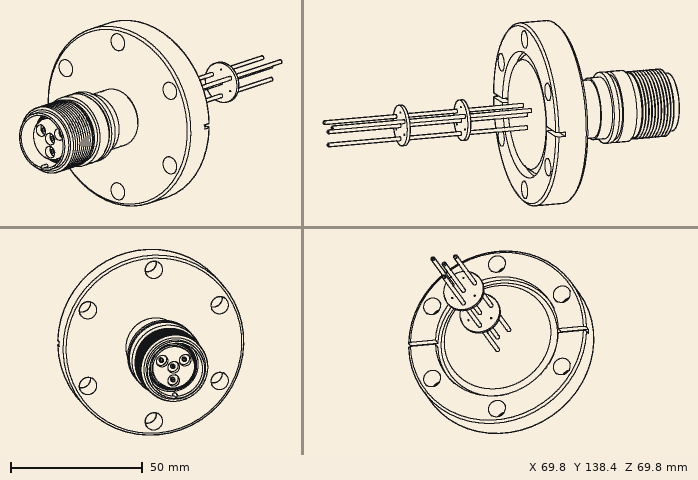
import cadquery as cq
import math


FLANGE_RADIUS = 34.9
FLANGE_THICKNESS = 13.0
FLANGE_CHAMFER = 1.0
BOLT_COUNT = 6
BOLT_CIRCLE_RADIUS = 29.4
BOLT_HOLE_RADIUS = 3.3

RECESS_RADIUS = 24.1
RECESS_DEPTH = 3.6
LAND_DEPTH = 1.0
LAND_RADIUS = 20.9
LAND_ROOT_RADIUS = 22.8
LEAK_SLOT_WIDTH = 1.7
SLOT_OVERLAP = 0.7

NECK_RADIUS = 11.1
NECK_CHAMFER = 1.5
SLEEVE_RADIUS = 11.8
COLLAR_RADIUS = 13.6
COLLAR_GROOVE_RADIUS = 12.5
SHANK_RADIUS = 12.3
NOSE_RADIUS = 11.1
SLEEVE_START = 13.7
COLLAR_START = 18.3
COLLAR_GROOVE_START = 20.4
COLLAR_GROOVE_END = 22.0
COLLAR_END = 27.4
FIRST_CREST = 29.9
NOSE_END = 45.5

THREAD_CREST_RADIUS = 12.9
THREAD_ROOT_RADIUS = 11.9
THREAD_PITCH = 1.26
CREST_COUNT = 11

SOCKET_RADIUS = 10.2
INSULATOR_RADIUS = 8.0
INSULATOR_FACE = 40.9
INSULATOR_COLLAR_RADIUS = 9.4
INSULATOR_TAPER = 1.4
SEAT_RADIUS = 9.0
SEAT_CHAMFER = 0.4
SOCKET_FLOOR = 36.7
PEG_RADIUS = 0.8
PEG_CENTRE_RADIUS = 10.2
PEG_LENGTH = 2.8
PEG_OVERHANG = 0.1

PIN_RADIUS = 0.76
PIN_CIRCLE_RADIUS = 5.1
PIN_ANGLES = (30, 150, 270)
PIN_END = 92.8
PIN_CHAMFER = 0.4
WELL_RADIUS = 2.2
WELL_DEPTH = 2.8
PIN_RECESS = 0.7

SPACER_RADIUS = 7.8
SPACER_THICKNESS = 1.2
SPACER_CENTRES = (38.2, 62.7)
VENT_RADIUS = 0.21


def cylinder(radius, y_start, y_end, x=0, z=0):
    """Cylinder along Y between two Y positions."""
    start = cq.Vector(x, y_start, z)
    return cq.Workplane(cq.Solid.makeCylinder(radius, y_end - y_start, start, cq.Vector(0, 1, 0)))


def revolve_profile(points):
    """Turn (radius, Y) points around the Y axis."""
    return cq.Workplane("XY").polyline(points).close().revolve(360, (0, 0, 0), (0, 1, 0))


def on_circle(radius, angle):
    """X and Z of a point at an angle from +X towards +Z."""
    turn = math.radians(angle)
    return radius * math.cos(turn), radius * math.sin(turn)


def make_flange():
    flange = cylinder(FLANGE_RADIUS, 0, FLANGE_THICKNESS).edges().chamfer(FLANGE_CHAMFER)
    for index in range(BOLT_COUNT):
        x, z = on_circle(BOLT_CIRCLE_RADIUS, 90 + index * 360 / BOLT_COUNT)
        flange = flange.cut(cylinder(BOLT_HOLE_RADIUS, 0, FLANGE_THICKNESS, x, z))

    back = FLANGE_THICKNESS
    floor = back - RECESS_DEPTH
    land = back - LAND_DEPTH
    recess = revolve_profile([
        (0, back),
        (RECESS_RADIUS, back),
        (RECESS_RADIUS, floor),
        (LAND_ROOT_RADIUS, floor),
        (LAND_RADIUS, land),
        (0, land),
    ])

    slot_length = FLANGE_RADIUS - RECESS_RADIUS + SLOT_OVERLAP
    for side in (-1, 1):
        slot = cq.Workplane("XY").box(slot_length, RECESS_DEPTH, LEAK_SLOT_WIDTH)
        slot_centre = side * (FLANGE_RADIUS - slot_length / 2)
        flange = flange.cut(slot.translate((slot_centre, back - RECESS_DEPTH / 2, 0)))
    return flange.cut(recess)


def make_barrel():
    outline = [
        (0, 0),
        (NECK_RADIUS - NECK_CHAMFER, 0),
        (NECK_RADIUS, -NECK_CHAMFER),
        (NECK_RADIUS, -SLEEVE_START),
        (SLEEVE_RADIUS, -SLEEVE_START),
        (SLEEVE_RADIUS, -COLLAR_START),
        (COLLAR_RADIUS, -COLLAR_START),
        (COLLAR_RADIUS, -COLLAR_GROOVE_START),
        (COLLAR_GROOVE_RADIUS, -COLLAR_GROOVE_START),
        (COLLAR_GROOVE_RADIUS, -COLLAR_GROOVE_END),
        (COLLAR_RADIUS, -COLLAR_GROOVE_END),
        (COLLAR_RADIUS, -COLLAR_END),
        (SHANK_RADIUS, -COLLAR_END),
        (SHANK_RADIUS, -FIRST_CREST),
    ]
    for index in range(CREST_COUNT):
        crest = FIRST_CREST + index * THREAD_PITCH
        outline.append((THREAD_CREST_RADIUS, -crest))
        outline.append((THREAD_ROOT_RADIUS, -(crest + THREAD_PITCH / 2)))
    thread_end = FIRST_CREST + (CREST_COUNT - 0.5) * THREAD_PITCH
    outline += [
        (NOSE_RADIUS, -thread_end),
        (NOSE_RADIUS, -NOSE_END),
        (0, -NOSE_END),
    ]
    return revolve_profile(outline)


def make_socket():
    """Open space inside the nose, around the stepped and tapered insulator."""
    collar_front = SOCKET_FLOOR + INSULATOR_TAPER
    return revolve_profile([
        (0, -NOSE_END),
        (SOCKET_RADIUS, -NOSE_END),
        (SOCKET_RADIUS, -SOCKET_FLOOR),
        (INSULATOR_COLLAR_RADIUS, -collar_front),
        (SEAT_RADIUS, -collar_front),
        (SEAT_RADIUS - SEAT_CHAMFER, -(collar_front + SEAT_CHAMFER)),
        (INSULATOR_RADIUS, -(collar_front + SEAT_CHAMFER)),
        (INSULATOR_RADIUS, -INSULATOR_FACE),
        (0, -INSULATOR_FACE),
    ])


def make_peg():
    """Dome-ended peg on the bottom of the socket wall, just proud of the nose."""
    tip = -(NOSE_END + PEG_OVERHANG)
    dome_centre = tip + PEG_RADIUS
    shank = cylinder(PEG_RADIUS, dome_centre, tip + PEG_LENGTH, z=-PEG_CENTRE_RADIUS)
    dome = cq.Workplane("XY").sphere(PEG_RADIUS).translate((0, dome_centre, -PEG_CENTRE_RADIUS))
    return shank.union(dome)


def make_spacer(centre):
    start = centre - SPACER_THICKNESS / 2
    end = centre + SPACER_THICKNESS / 2
    spacer = cylinder(SPACER_RADIUS, start, end)
    for angle in PIN_ANGLES:
        x, z = on_circle(PIN_CIRCLE_RADIUS, angle + 180)
        spacer = spacer.cut(cylinder(VENT_RADIUS, start, end, x, z))
    return spacer


def make_pin(x, z):
    """Conductor with both ends chamfered."""
    pin = cylinder(PIN_RADIUS, PIN_RECESS - INSULATOR_FACE, PIN_END, x, z)
    return pin.edges("%CIRCLE").chamfer(PIN_CHAMFER)


pin_places = [(0, 0)] + [on_circle(PIN_CIRCLE_RADIUS, angle) for angle in PIN_ANGLES]

result = make_flange().union(make_barrel()).cut(make_socket()).union(make_peg())
for x, z in pin_places:
    result = result.cut(cylinder(WELL_RADIUS, -INSULATOR_FACE, WELL_DEPTH - INSULATOR_FACE, x, z))
for centre in SPACER_CENTRES:
    result = result.union(make_spacer(centre))
for x, z in pin_places:
    result = result.union(make_pin(x, z))